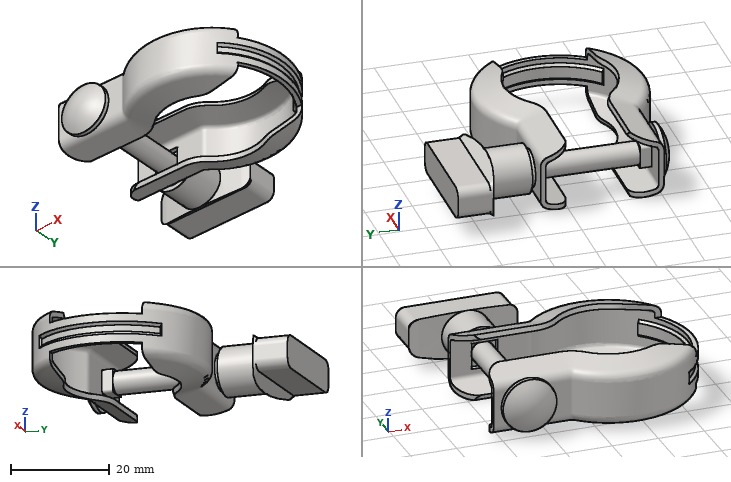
import cadquery as cq
import math


ring_radius = 18.3
sheet = 1.15
web_half_flat = 3.85
bend_radius = 2.2
flange_splay = 16.5
flange_rise = 7.35
arm_offset = 13.1
arm_end = -29.8
arm_bend = -13.1
arm_corner_radius = 5.0
ring_corner_radius = 5.25
hinge_half_gap = 10.0

hinge_half_height = 3.05
bead_depth = 0.6
groove_half_mouth = 1.3
groove_half_floor = 0.7
ridge_half_base = 1.9
ridge_half_crest = 1.3
groove_half_angle = 46.5
ridge_half_angle = 48.0

overall_length = 52.45
wing_length = 23.65
bolt_x = ring_radius + wing_length / 2 - overall_length
bolt_diameter = 5.0
neck_length = 3.5
neck_corner_radius = 0.5
head_diameter = 11.65
head_rim = 1.0
dome_height = 1.95
slot_width = 5.7
washer_diameter = 8.15
washer_thickness = 1.0
barrel_diameter = 10.5
wing_thickness = 7.0
wing_corner_radius = 2.0
wing_top = 31.9
flare_start = 24.95
bow_end = 24.4
bow_bottom = 22.4
barrel_start = arm_offset + washer_thickness


def cylinder_y(diameter, y_start, y_end):
    """Round bar on the bolt axis between two Y positions."""
    plane = cq.Workplane("XZ", origin=(bolt_x, y_start, 0))
    return plane.circle(diameter / 2).extrude(y_start - y_end)


def channel_profile(plane, web_position, inward):
    """Channel section on a plane; local x runs across the web, local y is the height.

    web_position is the local x of the outer web face, and inward (+1 or -1) points to the flange tips.
    """
    turn = math.radians(90 - flange_splay)
    inner_radius = bend_radius - sheet

    def bend_point(radius, angle):
        """Depth behind the outer web face and height of a point on the bend."""
        return bend_radius - radius * math.cos(angle), web_half_flat + radius * math.sin(angle)

    outer_end = bend_point(bend_radius, turn)
    inner_end = bend_point(inner_radius, turn)
    rise = flange_rise - outer_end[1]
    run = rise / math.tan(math.radians(flange_splay))
    outer_tip = (outer_end[0] + run, outer_end[1] + rise)
    inner_tip = (inner_end[0] + run, inner_end[1] + rise)

    def upper(point):
        return web_position + inward * point[0], point[1]

    def lower(point):
        return web_position + inward * point[0], -point[1]

    outer_start = (0, web_half_flat)
    inner_start = (sheet, web_half_flat)
    outer_middle = bend_point(bend_radius, turn / 2)
    inner_middle = bend_point(inner_radius, turn / 2)
    return (
        plane.moveTo(*lower(outer_start))
        .lineTo(*upper(outer_start))
        .threePointArc(upper(outer_middle), upper(outer_end))
        .lineTo(*upper(outer_tip))
        .lineTo(*upper(inner_tip))
        .lineTo(*upper(inner_end))
        .threePointArc(upper(inner_middle), upper(inner_start))
        .lineTo(*lower(inner_start))
        .threePointArc(lower(inner_middle), lower(inner_end))
        .lineTo(*lower(inner_tip))
        .lineTo(*lower(outer_tip))
        .lineTo(*lower(outer_end))
        .threePointArc(lower(outer_middle), lower(outer_start))
        .close()
    )


def make_arm():
    """Straight channel with the flange corners rounded at its free end."""
    plane = cq.Workplane("YZ", origin=(arm_end, 0, 0))
    arm = channel_profile(plane, arm_offset, -1).extrude(arm_bend - arm_end)
    tip_y = arm.val().BoundingBox().ymin
    centre = (arm_end + arm_corner_radius, tip_y + arm_corner_radius)
    diagonal = arm_corner_radius * math.sqrt(0.5)
    corner = (
        cq.Workplane("XY", origin=(0, 0, -flange_rise))
        .moveTo(arm_end, tip_y)
        .lineTo(centre[0], tip_y)
        .threePointArc((centre[0] - diagonal, centre[1] - diagonal), (arm_end, centre[1]))
        .close()
        .extrude(2 * flange_rise)
    )
    return arm.cut(corner)


def round_ring_tips(ring):
    """Round the corner between each flange tip and the flat end of the ring."""
    corners = ring.faces("<Y").edges("<X")
    return corners.fillet(ring_corner_radius)


def make_half():
    """Arm, outward bend and ring quadrant above the XZ plane."""
    elbow_radius = (arm_bend**2 + arm_offset**2 - ring_radius**2) / (2 * (ring_radius - arm_offset))
    elbow_y = arm_offset + elbow_radius
    joint_angle = math.degrees(math.atan2(elbow_y, arm_bend))
    elbow_plane = cq.Workplane("YZ", origin=(arm_bend, elbow_y, 0))
    elbow = channel_profile(elbow_plane, -elbow_radius, -1).revolve(joint_angle - 90, (0, 0), (0, 1))

    ring = channel_profile(cq.Workplane("XZ"), ring_radius, -1).revolve(joint_angle, (0, 0), (0, 1))
    opening = cq.Workplane("XY").box(2 * ring_radius, 2 * ring_radius, 2 * ring_radius)
    ring = ring.cut(opening.translate((ring_radius, hinge_half_gap - ring_radius, 0)))
    ring = round_ring_tips(ring)
    return make_arm().union(elbow).union(ring)


def sector(outline, half_angle):
    """Revolve a radial outline about Z, symmetric about the +X direction."""
    return outline.revolve(2 * half_angle, (0, 0), (0, 1)).rotate((0, 0, 0), (0, 0, 1), -half_angle)


def bead_outline(outer, half_outer, half_inner):
    """Trapezoid of one bead depth, measured inwards from the outer radius."""
    inner = outer - bead_depth
    points = [(outer, -half_outer), (outer, half_outer), (inner, half_inner), (inner, -half_inner)]
    return cq.Workplane("XZ").polyline(points).close()


def make_neck():
    """Square neck that keeps the bolt from turning in the lower arm."""
    neck = cq.Workplane("XZ", origin=(bolt_x, -arm_offset, 0)).rect(bolt_diameter, bolt_diameter)
    return neck.extrude(-neck_length).edges("|Y").fillet(neck_corner_radius)


def make_clamp():
    """Both halves joined by the hinge strip, with the bead and the bolt openings."""
    half = make_half()
    strip = cq.Workplane("XY").circle(ring_radius).circle(ring_radius - sheet)
    strip = strip.extrude(hinge_half_height, both=True)
    gap = cq.Workplane("XY").box(ring_radius, 2 * hinge_half_gap, 2 * hinge_half_height)
    strip = strip.intersect(gap.translate((ring_radius, 0, 0)))
    clamp = half.union(half.mirror("XZ")).union(strip)

    ridge = bead_outline(ring_radius - sheet, ridge_half_base, ridge_half_crest)
    groove = bead_outline(ring_radius, groove_half_mouth, groove_half_floor)
    clamp = clamp.union(sector(ridge, ridge_half_angle)).cut(sector(groove, groove_half_angle))

    slot = cq.Workplane("XY").box(slot_width, 2 * sheet, slot_width).translate((bolt_x, arm_offset, 0))
    return clamp.cut(slot).cut(make_neck())


def make_bolt():
    """Carriage bolt: domed head, square neck and plain shank."""
    head_radius = head_diameter / 2
    rim_y = -arm_offset - head_rim
    dome_radius = (head_radius**2 + dome_height**2) / (2 * dome_height)
    half_span = math.asin(head_radius / dome_radius) / 2
    mid_dome = (dome_radius * math.sin(half_span),
                rim_y - dome_height + dome_radius * (1 - math.cos(half_span)))
    head = (
        cq.Workplane("XY", origin=(bolt_x, 0, 0))
        .moveTo(0, -arm_offset)
        .lineTo(head_radius, -arm_offset)
        .lineTo(head_radius, rim_y)
        .threePointArc(mid_dome, (0, rim_y - dome_height))
        .close()
        .revolve(360, (0, 0), (0, 1))
    )
    shank = cylinder_y(bolt_diameter, -arm_offset, bow_bottom)
    return head.union(make_neck()).union(shank)


def make_washer():
    """Plain ring between the upper arm and the barrel of the nut."""
    washer = cylinder_y(washer_diameter, arm_offset, barrel_start)
    return washer.cut(cylinder_y(bolt_diameter, arm_offset, barrel_start))


def make_wing_nut():
    """Barrel with a wing whose lower part thickens to the barrel width and ends in a bowed face."""
    def wing_section(thickness):
        return cq.Sketch().rect(wing_length, thickness).vertices().fillet(wing_corner_radius)

    plate = cq.Workplane("XZ", origin=(bolt_x, flare_start, 0)).placeSketch(wing_section(wing_thickness))
    plate = plate.extrude(flare_start - wing_top)
    flare_depth = flare_start - bow_bottom
    flare = (
        cq.Workplane("XZ", origin=(bolt_x, flare_start, 0))
        .placeSketch(wing_section(wing_thickness),
                     wing_section(barrel_diameter).moved(cq.Location(cq.Vector(0, 0, flare_depth))))
        .loft()
    )
    bow_height = bow_end - bow_bottom
    bow_radius = ((wing_length / 2)**2 + bow_height**2) / (2 * bow_height)
    bow = cq.Workplane("XY").circle(bow_radius).extrude(barrel_diameter, both=True)
    bow = bow.translate((bolt_x, bow_bottom + bow_radius, 0))
    wing = plate.union(flare).intersect(bow)
    barrel = cylinder_y(barrel_diameter, barrel_start, flare_start).cut(bow)
    bore = cylinder_y(bolt_diameter, barrel_start, bow_bottom)
    return wing.union(barrel).cut(bore)


clamp = make_clamp()
bolt = make_bolt()
washer = make_washer()
wing_nut = make_wing_nut()

result = cq.Compound.makeCompound([clamp.val(), bolt.val(), washer.val(), wing_nut.val()])